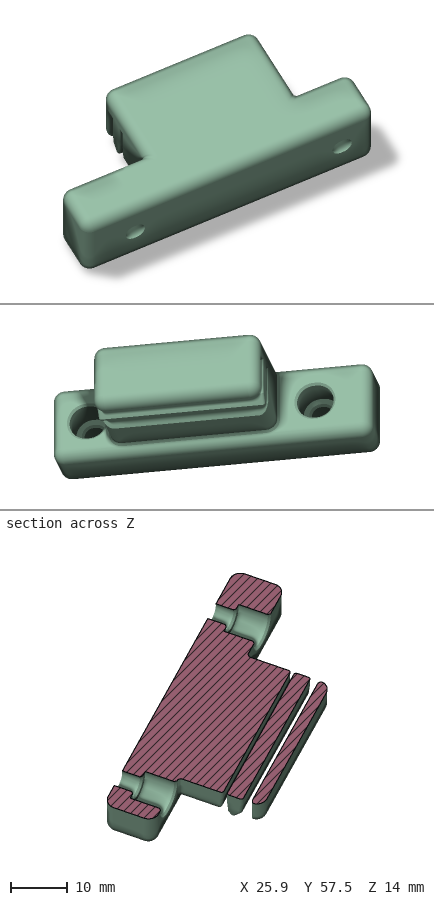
import cadquery as cq

length_x = 25.92
bar_length = 57.5
height = 14.0
edge_radius = 2.0

bar_thickness = 9.8
bar_front = length_x - bar_thickness

body_width = 30.0
body_center_y = 3.0
body_bottom = 2.0
body_min_y = body_center_y - body_width / 2
body_max_y = body_center_y + body_width / 2
corner_chamfer = 0.4

hole_positions_y = (-18.7, 22.3)
hole_center_z = height / 2
hole_diameter = 3.4
hole_stretch = 0.4
hole_chamfer = 0.4
counterbore_diameter = 6.2
counterbore_depth = 6.0

opening_left = 2.3
opening_right = 7.64
opening_top = 10.0
rim_radius = 0.5
left_rim_radius = 0.75
plate_thickness = 1.0
draft_top = 5.86
draft_bottom = 3.6
draft_offset = 0.24
lead_in_width = 1.75

tongue_left = 3.85
tongue_right = 6.99
tongue_right_draft_top = 5.4
tongue_right_draft_bottom = 2.9
tongue_tip_left = 5.5
tongue_tip_right = 6.05

tolerance = 0.01


def block(x_min, x_max, y_min, y_max, z_min, z_max):
    size = (x_max - x_min, y_max - y_min, z_max - z_min)
    return cq.Workplane("XY").box(*size, centered=False).translate((x_min, y_min, z_min))


def make_bar():
    half_length = bar_length / 2
    bar = block(bar_front, length_x, -half_length, half_length, 0, height)
    return bar.edges().fillet(edge_radius)


def make_body():
    body_back = length_x - bar_thickness / 2
    body = block(0, body_back, body_min_y, body_max_y, body_bottom, height)
    return body.faces("<X or <Y or >Y").edges("not >X").fillet(edge_radius)


def in_corner(edge):
    """True for edges of the inside corners where the body sides meet the bar."""
    box = edge.BoundingBox()
    on_side = abs(box.ymin - body_min_y) < tolerance or abs(box.ymax - body_max_y) < tolerance
    return on_side and box.xmin > bar_front - tolerance and box.xmax < bar_front + edge_radius + tolerance


def make_housing():
    housing = make_bar().union(make_body())
    corner_edges = [edge for edge in housing.edges().vals() if in_corner(edge)]
    return housing.newObject(corner_edges).chamfer(corner_chamfer)


def profile_at(points, y):
    """Closed X-Z outline at the given y; it extrudes toward -Y."""
    return cq.Workplane("XZ", origin=(0, y, 0)).polyline(points).close()


def rim_selector(x_min, x_max, face_y):
    """Selector for edges centred in a stretch of the opening rim on one body side."""
    return cq.selectors.BoxSelector(
        (x_min - tolerance, face_y - tolerance, draft_bottom),
        (x_max + tolerance, face_y + tolerance, height - tolerance),
    )


def make_opening():
    lead_in_start = opening_right + draft_offset
    lead_in_end = lead_in_start + lead_in_width
    points = [
        (opening_left, 0),
        (opening_left, opening_top),
        (opening_right, opening_top),
        (opening_right, draft_top),
        (lead_in_start, draft_bottom),
        (lead_in_end, body_bottom),
        (lead_in_end, 0),
    ]
    opening = profile_at(points, body_max_y).extrude(body_width)

    plate_right = lead_in_end + plate_thickness
    for y_min in (body_min_y - plate_thickness, body_max_y):
        plate = block(-plate_thickness, plate_right, y_min, y_min + plate_thickness, 0, height)
        opening = opening.union(plate)
    for face_y in (body_min_y, body_max_y):
        left_rim = rim_selector(opening_left, opening_left, face_y)
        opening = opening.edges(left_rim).fillet(left_rim_radius)
        other_rim = rim_selector(opening_left + left_rim_radius, lead_in_start, face_y)
        opening = opening.edges(other_rim).fillet(rim_radius)
    return opening


def make_tongue():
    root_z = opening_top + 2 * rim_radius
    points = [
        (tongue_left, root_z),
        (tongue_left, draft_top),
        (tongue_left + draft_offset, draft_bottom),
        (tongue_tip_left, body_bottom),
        (tongue_tip_right, body_bottom),
        (tongue_right - draft_offset, tongue_right_draft_bottom),
        (tongue_right, tongue_right_draft_top),
        (tongue_right, root_z),
    ]
    tongue = profile_at(points, body_max_y).extrude(body_width)
    return tongue.faces("<Y or >Y").edges("not >Z").fillet(rim_radius)


def make_stepped_slot(x, y, diameter, chamfer, depth):
    """Oblong pocket running along +X from x, with a chamfered mouth."""
    plane = cq.Workplane("YZ", origin=(x, y, hole_center_z))
    pocket = plane.slot2D(diameter + hole_stretch, diameter).extrude(depth)
    mouth_diameter = diameter + 2 * chamfer
    mouth = plane.slot2D(mouth_diameter + hole_stretch, mouth_diameter).extrude(chamfer, taper=45)
    return pocket.union(mouth)


def make_screw_hole(y):
    floor_x = bar_front + counterbore_depth
    counterbore = make_stepped_slot(bar_front, y, counterbore_diameter, hole_chamfer, counterbore_depth)
    through_hole = make_stepped_slot(floor_x, y, hole_diameter, hole_chamfer, length_x - floor_x)
    return counterbore.union(through_hole)


result = make_housing().cut(make_opening()).union(make_tongue())
for hole_y in hole_positions_y:
    result = result.cut(make_screw_hole(hole_y))